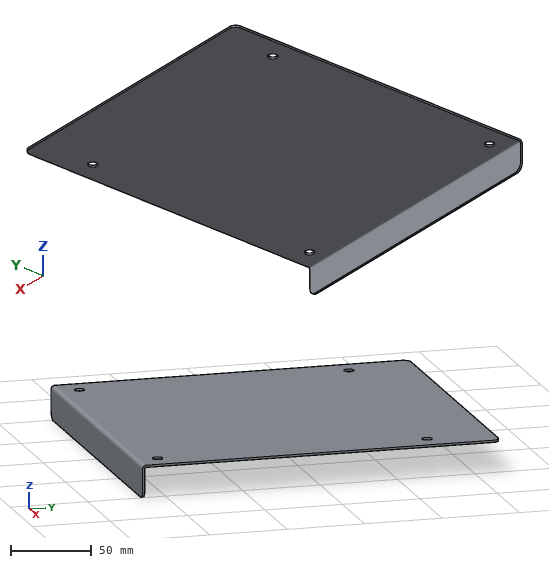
import cadquery as cq

width = 206.0
depth = 231.0
height = 21.5

thickness = 1.5
inner_bend_radius = 1.0
outer_bend_radius = inner_bend_radius + thickness
corner_radius = 5.0

hole_diameter = 6.3
hole_spacing_x = 176.0
hole_spacing_y = 174.0
front_hole_offset = 14.0

half_width = width / 2


def bent_sheet():
    """L-shaped sheet: a flat plate with a flange bent down along its front edge."""
    profile = (
        cq.Workplane("YZ")
        .moveTo(depth, 0)
        .lineTo(depth, -thickness)
        .lineTo(outer_bend_radius, -thickness)
        .radiusArc((thickness, -outer_bend_radius), -inner_bend_radius)
        .lineTo(thickness, -height)
        .lineTo(0, -height)
        .lineTo(0, -outer_bend_radius)
        .radiusArc((outer_bend_radius, 0), outer_bend_radius)
        .close()
    )
    return profile.extrude(half_width, both=True)


def round_corners(sheet):
    """Round the two rear plate corners and the two lower flange corners."""
    sheet = sheet.faces(">Y").edges("|Z").fillet(corner_radius)
    return sheet.faces("<Z").edges("|Y").fillet(corner_radius)


def mounting_holes():
    """Four through-hole cutters in a rectangular pattern on the plate."""
    pattern_center_y = front_hole_offset + hole_spacing_y / 2
    return (
        cq.Workplane("XY")
        .center(0, pattern_center_y)
        .rect(hole_spacing_x, hole_spacing_y, forConstruction=True)
        .vertices()
        .circle(hole_diameter / 2)
        .extrude(-thickness)
    )


result = round_corners(bent_sheet()).cut(mounting_holes())